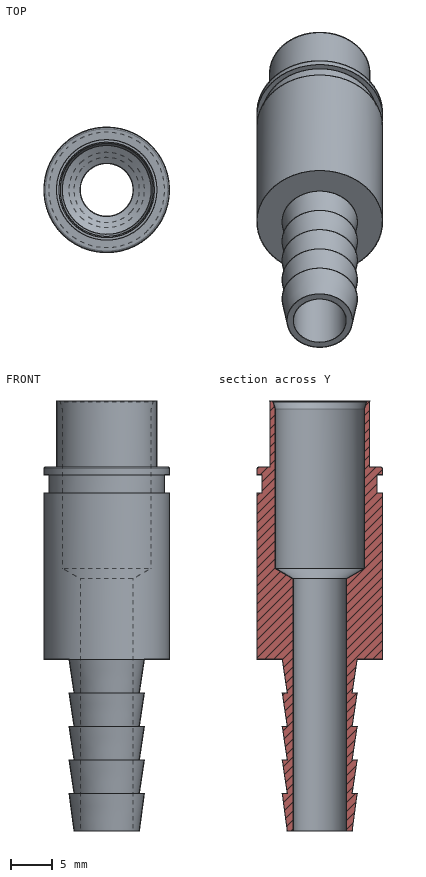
import cadquery as cq
import math

total_length = 51.35

barb_count = 5
barb_pitch = 4.0
tip_barb_length = 4.5
barb_crest_radius = 4.5
barb_root_radius = 3.9
bore_radius = 3.15

body_radius = 7.5
groove_radius = 6.9
groove_width = 2.15
flange_thickness = 0.95
flange_fillet = 0.2

socket_radius = 6.0
socket_length = 7.9
socket_bore_radius = 5.3
socket_bore_depth = 20.0
funnel_half_angle = 60.0

mouth_radius = 5.7
mouth_chamfer = 0.15
lead_in_depth = 1.0

body_bottom = tip_barb_length + (barb_count - 1) * barb_pitch
flange_top = total_length - socket_length
groove_top = flange_top - flange_thickness
groove_bottom = groove_top - groove_width
socket_floor = total_length - socket_bore_depth


def make_cylinder(radius, bottom, top):
    return cq.Workplane("XY").workplane(offset=bottom).circle(radius).extrude(top - bottom)


def make_cone(bottom_radius, top_radius, bottom, top):
    """Solid frustum about the Z axis."""
    profile = [(0, bottom), (bottom_radius, bottom), (top_radius, top), (0, top)]
    return cq.Workplane("XZ").polyline(profile).close().revolve(360, (0, 0), (0, 1))


def make_hose_tail():
    """Stack of barbs, each widening upward to a sharp crest."""
    tail = make_cone(barb_root_radius, barb_crest_radius, 0, tip_barb_length)
    for index in range(barb_count - 1):
        bottom = tip_barb_length + index * barb_pitch
        barb = make_cone(barb_root_radius, barb_crest_radius, bottom, bottom + barb_pitch)
        tail = tail.union(barb)
    return tail


def make_body():
    """Grooved body with its top flange and the socket tube above."""
    barrel = make_cylinder(body_radius, body_bottom, groove_bottom)
    groove_core = make_cylinder(groove_radius, groove_bottom, groove_top)
    flange = make_cylinder(body_radius, groove_top, flange_top).faces(">Z").fillet(flange_fillet)
    tube = make_cylinder(socket_radius, flange_top, total_length)
    return barrel.union(groove_core).union(flange).union(tube)


def make_bore():
    """Through bore, funnel, socket bore and the tapered lead-in at the mouth."""
    funnel_length = (socket_bore_radius - bore_radius) / math.tan(math.radians(funnel_half_angle))
    bore = make_cylinder(bore_radius, 0, socket_floor)
    funnel = make_cone(bore_radius, socket_bore_radius, socket_floor - funnel_length, socket_floor)
    socket = make_cylinder(socket_bore_radius, socket_floor, total_length)
    lead_in_bottom = total_length - lead_in_depth
    lead_in_top = total_length - mouth_chamfer
    lead_in_radius = mouth_radius - mouth_chamfer
    lead_in = make_cone(socket_bore_radius, lead_in_radius, lead_in_bottom, lead_in_top)
    mouth = make_cone(lead_in_radius, mouth_radius, lead_in_top, total_length)
    return bore.union(funnel).union(socket).union(lead_in).union(mouth)


result = make_hose_tail().union(make_body()).cut(make_bore())